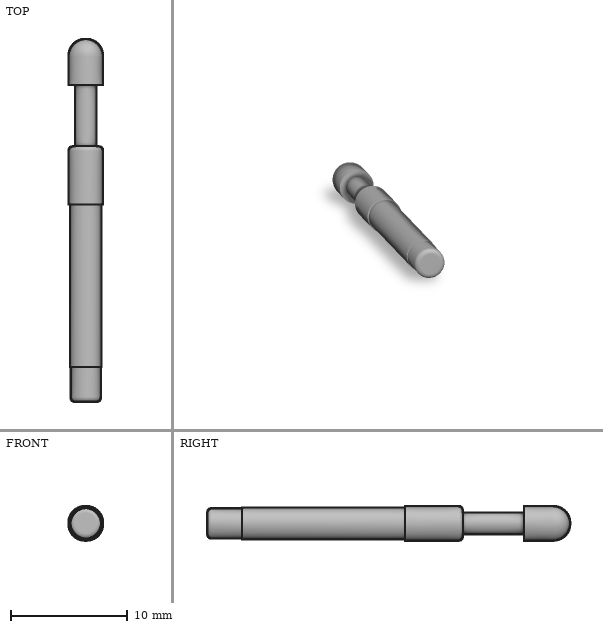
import cadquery as cq

total_length = 31.3

head_radius = 1.5
head_length = 4.0
plunger_radius = 0.95
plunger_length = 5.25
collar_radius = head_radius
collar_length = 5.0
barrel_radius = 1.38
tail_radius = 1.3
tail_length = 3.0
rim_fillet = 0.4

tip_y = total_length / 2
head_back_y = tip_y - head_length
collar_front_y = head_back_y - plunger_length
collar_back_y = collar_front_y - collar_length
tail_back_y = -total_length / 2
tail_front_y = tail_back_y + tail_length


def cylinder(radius, start_y, end_y):
    """Round section on the Y axis from start_y up to end_y."""
    plane = cq.Plane(origin=(0, start_y, 0), xDir=(1, 0, 0), normal=(0, 1, 0))
    return cq.Workplane(plane).circle(radius).extrude(end_y - start_y)


dome_base_y = tip_y - head_radius
dome = cq.Workplane("XY").sphere(head_radius).translate((0, dome_base_y, 0))
head = cylinder(head_radius, head_back_y, dome_base_y).union(dome)

plunger = cylinder(plunger_radius, collar_front_y, head_back_y)

collar = cylinder(collar_radius, collar_back_y, collar_front_y).faces(">Y").edges().fillet(rim_fillet)

barrel = cylinder(barrel_radius, tail_front_y, collar_back_y)
tail = cylinder(tail_radius, tail_back_y, tail_front_y).faces("<Y").edges().fillet(rim_fillet)

result = head.union(plunger).union(collar).union(barrel).union(tail)